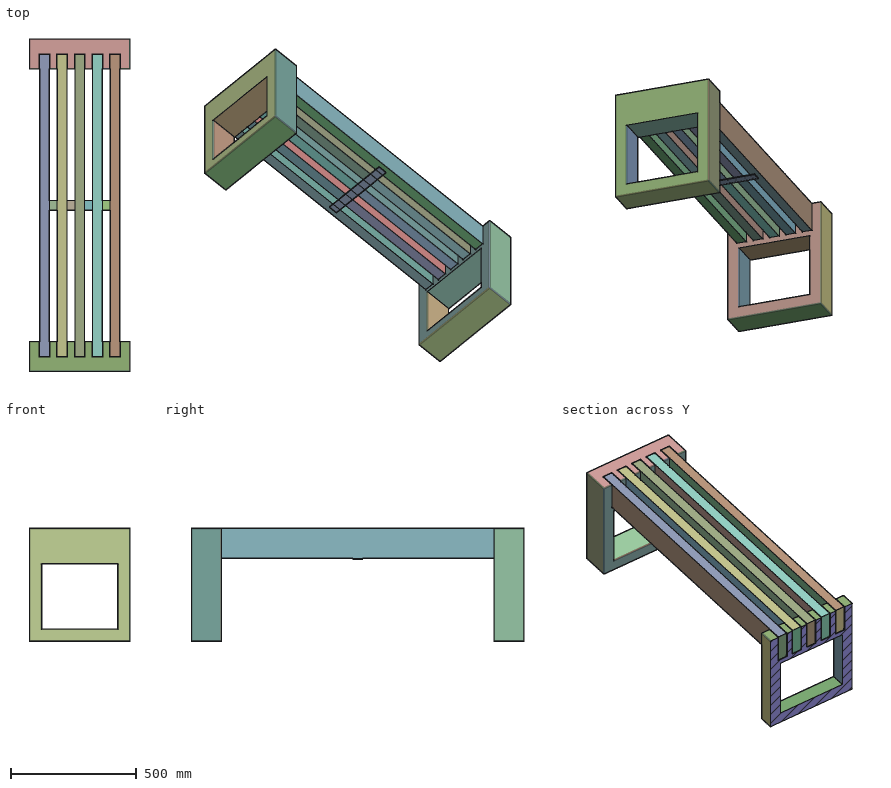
import cadquery as cq

bench_width = 400.0
bench_length = 1320.0
bench_height = 450.0

frame_depth = 120.0
wall_thickness = 50.0
top_beam_height = 143.0
edge_round = 3.0

slat_count = 5
slat_width = 40.0
slat_height = 120.0
slat_pitch = 70.0
slat_end_inset = 61.0
slot_clearance = 2.0

bar_width = 40.0
bar_thickness = 4.0

slat_length = bench_length - 2 * slat_end_inset
slat_bottom = bench_height - slat_height
slat_span = (slat_count - 1) * slat_pitch
slat_centres = [i * slat_pitch - slat_span / 2 for i in range(slat_count)]


def standing_box(width, length, height, bottom=0):
    """Box centred on X and Y that rises from the given height."""
    return cq.Workplane("XY", origin=(0, 0, bottom)).box(width, length, height, centered=(True, True, False))


def make_slats(clearance=0.0):
    """All seat slats, grown by the clearance at both sides and both ends."""
    return (
        cq.Workplane("XY", origin=(0, 0, slat_bottom))
        .pushPoints([(x, 0) for x in slat_centres])
        .rect(slat_width + 2 * clearance, slat_length + 2 * clearance)
        .extrude(slat_height)
    )


def make_end_frame():
    """Portal centred on Y = 0, all edges rounded except under the top beam."""
    window_width = bench_width - 2 * wall_thickness
    window_height = bench_height - wall_thickness - top_beam_height
    window = standing_box(window_width, frame_depth, window_height, wall_thickness)

    block = standing_box(bench_width, frame_depth, bench_height).edges().fillet(edge_round)
    frame = block.cut(window)

    zone_half_width = (bench_width - wall_thickness) / 2
    rim_zone = cq.selectors.BoxSelector(
        (-zone_half_width, -frame_depth, wall_thickness / 2),
        (zone_half_width, frame_depth, bench_height - top_beam_height - wall_thickness),
    )
    return frame.faces("<Y or >Y").edges(rim_zone).fillet(edge_round)


slats = make_slats()
slots = make_slats(slot_clearance)
bar = standing_box(slat_span, bar_width, bar_thickness, slat_bottom - bar_thickness)
end_frame = make_end_frame()
frame_offset = (bench_length - frame_depth) / 2

result = slats.union(bar)
for side in (-1, 1):
    result = result.union(end_frame.translate((0, side * frame_offset, 0)).cut(slots))